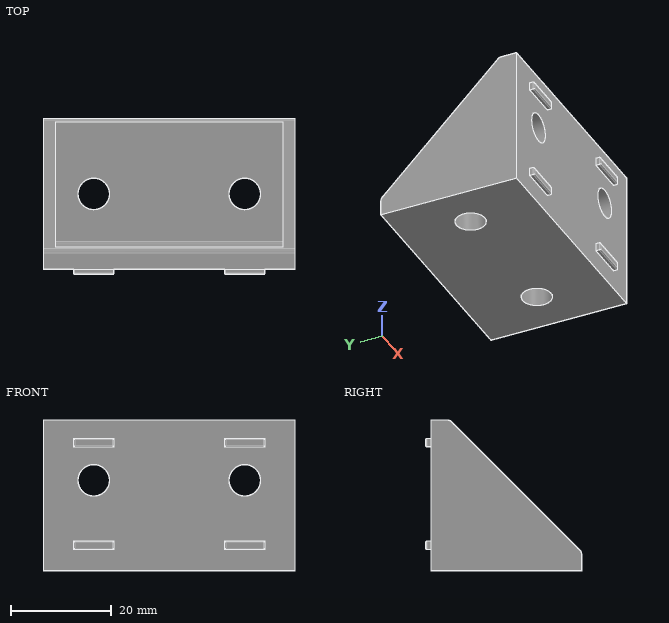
import cadquery as cq

length = 50.0
leg = 30.0
edge = 3.8
edge_radius = 1.25

cheek = 2.4
plate = 4.5
pocket_radius = 1.05

hole_diameter = 6.2
hole_spacing = 30.0
wall_hole_height = 18.0
base_hole_depth = 15.0

tab_length = 8.0
tab_height = 1.7
tab_depth = 1.0
tab_radius = 0.25
tab_heights = (5.1, 25.5)

columns = (-hole_spacing / 2, hole_spacing / 2)


def prism(points, width):
    """Extrude a YZ outline symmetrically about the middle of the length."""
    return cq.Workplane("YZ").polyline(points).close().extrude(width / 2, both=True)


def make_body():
    outline = [(0, 0), (leg, 0), (leg, edge), (edge, leg), (0, leg)]
    body = prism(outline, length)
    toe = cq.selectors.NearestToPointSelector((0, leg, edge))
    crest = cq.selectors.NearestToPointSelector((0, edge, leg))
    return body.edges(toe + crest).fillet(edge_radius)


def make_pocket():
    outline = [(plate, plate), (leg, plate), (leg, leg), (plate, leg)]
    pocket = prism(outline, length - 2 * cheek)
    inner_corner = cq.selectors.NearestToPointSelector((0, plate, plate))
    return pocket.edges(inner_corner).fillet(pocket_radius)


def make_holes():
    wall_holes = (
        cq.Workplane("XZ")
        .pushPoints([(x, wall_hole_height) for x in columns])
        .circle(hole_diameter / 2)
        .extrude(-plate)
    )
    base_holes = (
        cq.Workplane("XY")
        .pushPoints([(x, base_hole_depth) for x in columns])
        .circle(hole_diameter / 2)
        .extrude(plate)
    )
    return wall_holes.union(base_holes)


def make_tabs():
    return (
        cq.Workplane("XZ")
        .pushPoints([(x, z) for x in columns for z in tab_heights])
        .rect(tab_length, tab_height)
        .extrude(tab_depth)
        .faces("<Y")
        .edges().fillet(tab_radius)
    )


result = make_body().cut(make_pocket()).cut(make_holes()).union(make_tabs())